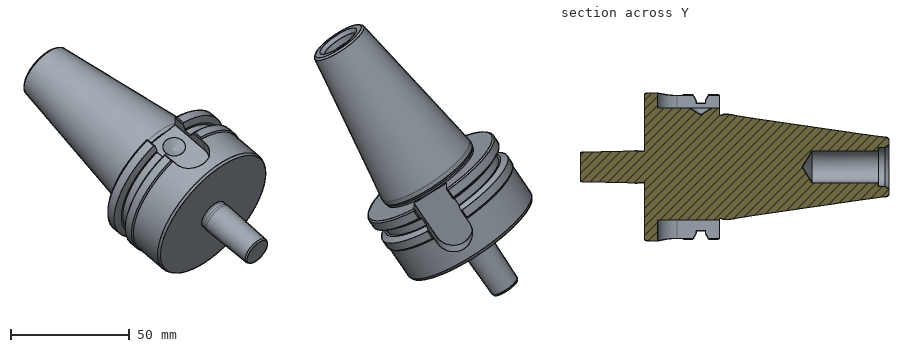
import cadquery as cq
import math

taper_end = 67.8
relief_start = 69.8
relief_end = 70.7
flange_start = 71.5
flange_end = 87.3
body_end = 103.3
neck_start = 104.0
neck_end = 105.2
arbor_start = 106.4
total_length = 130.2

taper_large_radius = 22.3
taper_slope = 7 / 48
relief_radius = 43.6 / 2
flange_radius = 31.8
body_radius = 62.5 / 2
arbor_root_radius = 6.8
neck_radius = 13.4 / 2
arbor_large_radius = 6.9
arbor_small_radius = 6.4
end_chamfer = 0.8
flange_chamfer = 0.7
body_chamfer_length = 1.2
body_chamfer_depth = 0.5

groove_center = 79.5
groove_floor_width = 3.8
groove_mouth_width = 6.8
groove_floor_radius = 28.1
groove_shoulder_radius = 29.0
cutter_clearance = 1.3

bore_mouth_radius = 9.2
bore_radius = 8.2
bore_cone_depth = 1.8
bore_depth = 4.5
tap_hole_radius = 13.4 / 2
tap_hole_depth = 32.5

slot_width = 16.3
slot_tip = 97.5
upper_slot_floor = 24.9
lower_slot_floor = 22.4
slot_edge_chamfer = 0.7
dimple_radius = 9.5 / 2
drill_half_angle = math.radians(59)


def revolve_about_x(points):
    """Turn a closed (x, radius) outline around the X axis."""
    return cq.Workplane("XY").polyline(points).close().revolve(360, (0, 0, 0), (1, 0, 0))


def make_outside():
    taper_small_radius = taper_large_radius - taper_end * taper_slope
    return revolve_about_x([
        (0, 0),
        (0, taper_small_radius - end_chamfer),
        (end_chamfer, taper_small_radius + end_chamfer * taper_slope),
        (taper_end, taper_large_radius),
        (relief_start, taper_large_radius),
        (relief_end, relief_radius),
        (flange_start, relief_radius),
        (flange_start, flange_radius - flange_chamfer),
        (flange_start + flange_chamfer, flange_radius),
        (flange_end - flange_chamfer, flange_radius),
        (flange_end, body_radius),
        (body_end - body_chamfer_length, body_radius),
        (body_end, body_radius - body_chamfer_depth),
        (body_end, arbor_root_radius),
        (neck_start, neck_radius),
        (neck_end, neck_radius),
        (arbor_start, arbor_large_radius),
        (total_length - end_chamfer, arbor_small_radius),
        (total_length, arbor_small_radius - end_chamfer / 2),
        (total_length, 0),
    ])


def make_groove():
    half_floor = groove_floor_width / 2
    half_mouth = groove_mouth_width / 2
    clear_radius = flange_radius + cutter_clearance
    return revolve_about_x([
        (groove_center - half_floor, groove_floor_radius),
        (groove_center - half_floor, groove_shoulder_radius),
        (groove_center - half_mouth, flange_radius),
        (groove_center - half_mouth, clear_radius),
        (groove_center + half_mouth, clear_radius),
        (groove_center + half_mouth, flange_radius),
        (groove_center + half_floor, groove_shoulder_radius),
        (groove_center + half_floor, groove_floor_radius),
    ])


def make_bore():
    drill_tip = tap_hole_depth + tap_hole_radius / math.tan(drill_half_angle)
    return revolve_about_x([
        (0, 0),
        (0, bore_mouth_radius),
        (bore_cone_depth, bore_radius),
        (bore_depth, bore_radius),
        (bore_depth, tap_hole_radius),
        (tap_hole_depth, tap_hole_radius),
        (drill_tip, 0),
    ])


def make_slot(floor):
    """Round-ended slot open toward the taper, cut upward from the given floor height."""
    half_width = slot_width / 2
    arc_center = slot_tip - half_width
    slot = (
        cq.Workplane("XY", origin=(0, 0, floor))
        .moveTo(flange_start, -half_width)
        .lineTo(arc_center, -half_width)
        .threePointArc((slot_tip, 0), (arc_center, half_width))
        .lineTo(flange_start, half_width)
        .close()
        .extrude(flange_radius)
    )
    rim_height = math.sqrt(flange_radius**2 - half_width**2)
    bevel_width = half_width + slot_edge_chamfer
    bevels = (
        cq.Workplane("YZ", origin=(flange_start, 0, 0))
        .polyline([
            (-half_width, rim_height - slot_edge_chamfer),
            (-bevel_width, rim_height),
            (-bevel_width, flange_radius),
            (bevel_width, flange_radius),
            (bevel_width, rim_height),
            (half_width, rim_height - slot_edge_chamfer),
        ])
        .close()
        .extrude(flange_end - flange_start)
    )
    return slot.union(bevels)


def make_dimple():
    depth = dimple_radius / math.tan(drill_half_angle)
    cone = cq.Solid.makeCone(
        dimple_radius, 0, depth, cq.Vector(groove_center, 0, upper_slot_floor), cq.Vector(0, 0, -1)
    )
    return cq.Workplane(obj=cone)


upper_slot = make_slot(upper_slot_floor)
lower_slot = make_slot(lower_slot_floor).rotate((0, 0, 0), (1, 0, 0), 180)

result = make_outside()
for cutter in (make_groove(), make_bore(), upper_slot, lower_slot, make_dimple()):
    result = result.cut(cutter)